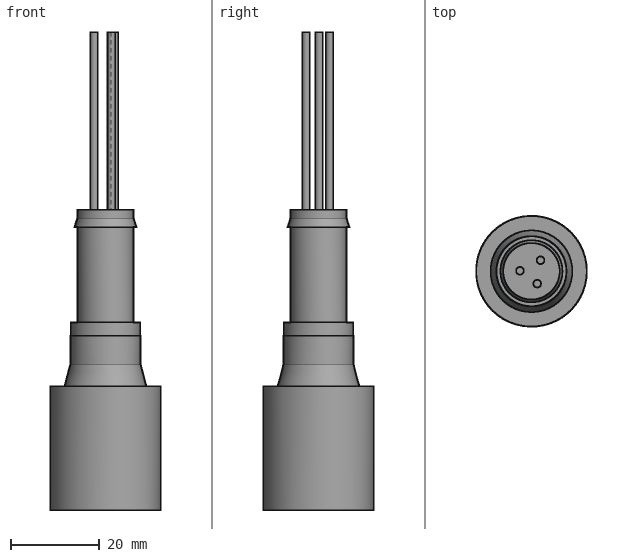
import cadquery as cq

overall_height = 107.8
base_top = 28.0
flare_top = 33.0
collar_seam = 39.3
collar_top = 42.4
barb_bottom = 63.8
barb_top = 65.9
stem_top = 67.8

base_diameter = 25.0
flare_diameter = 18.4
sleeve_diameter = 15.8
collar_diameter = 15.7
barb_diameter = 14.0
stem_diameter = 12.7
wire_diameter = 1.7

wire_centres = [(-2.6, 0.1), (2.0, 2.5), (1.3, -2.8)]


def cylinder(diameter, bottom, top):
    """Round section centred on the axis between two heights."""
    return cq.Workplane("XY").workplane(offset=bottom).circle(diameter / 2).extrude(top - bottom)


def taper(bottom_diameter, top_diameter, bottom, top):
    """Conical section that narrows from one height to the next."""
    cone = cq.Solid.makeCone(
        bottom_diameter / 2, top_diameter / 2, top - bottom, cq.Vector(0, 0, bottom)
    )
    return cq.Workplane(cone)


base = cylinder(base_diameter, 0, base_top)
flare = taper(flare_diameter, sleeve_diameter, base_top, flare_top)
sleeve = cylinder(sleeve_diameter, flare_top, collar_seam)
collar = cylinder(collar_diameter, collar_seam, collar_top)
stem = cylinder(stem_diameter, collar_top, stem_top)
barb = taper(barb_diameter, stem_diameter, barb_bottom, barb_top)
body = base.union(flare).union(sleeve).union(collar).union(stem).union(barb)

wires = (
    cq.Workplane("XY")
    .workplane(offset=stem_top)
    .pushPoints(wire_centres)
    .circle(wire_diameter / 2)
    .extrude(overall_height - stem_top)
)

result = body.union(wires)